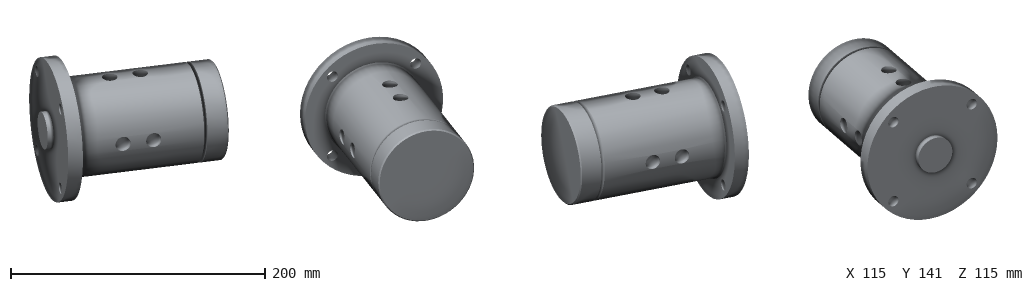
import cadquery as cq
import math

total_length = 141.0
spigot_diameter = 30.0
spigot_length = 5.0
flange_diameter = 115.0
flange_thickness = 12.0
body_diameter = 80.0
cap_length = 17.6

cap_chamfer = 1.0
foot_flare = 1.0
groove_width = 2.7
groove_slope_angle = 60

bolt_hole_diameter = 9.0
bolt_circle_diameter = 98.0
bolt_hole_count = 4
bolt_start_angle = 45

port_diameter = 12.3
port_depth = 15.0
port_tip_angle = 118
first_port_y = 54.5
port_pitch = 25.0
ports_per_row = 2
port_row_count = 4

spigot_radius = spigot_diameter / 2
flange_radius = flange_diameter / 2
body_radius = body_diameter / 2
port_radius = port_diameter / 2
flange_back_y = spigot_length + flange_thickness
cap_front_y = total_length - cap_length
groove_depth = groove_width * math.tan(math.radians(groove_slope_angle))
port_tip_length = port_radius / math.tan(math.radians(port_tip_angle / 2))


def turned_body():
    """Spigot, flange, body and cap as one half profile revolved about Y."""
    profile = [
        (0, 0),
        (spigot_radius, 0),
        (spigot_radius, spigot_length),
        (flange_radius, spigot_length),
        (flange_radius, flange_back_y),
        (body_radius + foot_flare, flange_back_y),
        (body_radius, flange_back_y + foot_flare),
        (body_radius, cap_front_y - groove_width),
        (body_radius - groove_depth, cap_front_y),
        (body_radius, cap_front_y),
        (body_radius, total_length - cap_chamfer),
        (body_radius - cap_chamfer, total_length),
        (0, total_length),
    ]
    return cq.Workplane("XY").polyline(profile).close().revolve(360, (0, 0), (0, 1))


def bolt_holes():
    """Cylinders through the flange, evenly spaced on the bolt circle."""
    return (
        cq.Workplane("XZ", origin=(0, spigot_length, 0))
        .polarArray(bolt_circle_diameter / 2, bolt_start_angle, 360, bolt_hole_count)
        .circle(bolt_hole_diameter / 2)
        .extrude(-flange_thickness)
    )


def port(y):
    """Drill-shaped cutter entering the body from +Z at the given Y."""
    floor_z = body_radius - port_depth
    profile = [
        (0, body_radius),
        (port_radius, body_radius),
        (port_radius, floor_z),
        (0, floor_z - port_tip_length),
    ]
    cutter = cq.Workplane("XZ").polyline(profile).close().revolve(360, (0, 0), (0, 1))
    return cutter.translate((0, y, 0))


result = turned_body().cut(bolt_holes())

for row in range(port_row_count):
    row_angle = row * 360 / port_row_count
    for index in range(ports_per_row):
        cutter = port(first_port_y + index * port_pitch)
        result = result.cut(cutter.rotate((0, 0, 0), (0, 1, 0), row_angle))